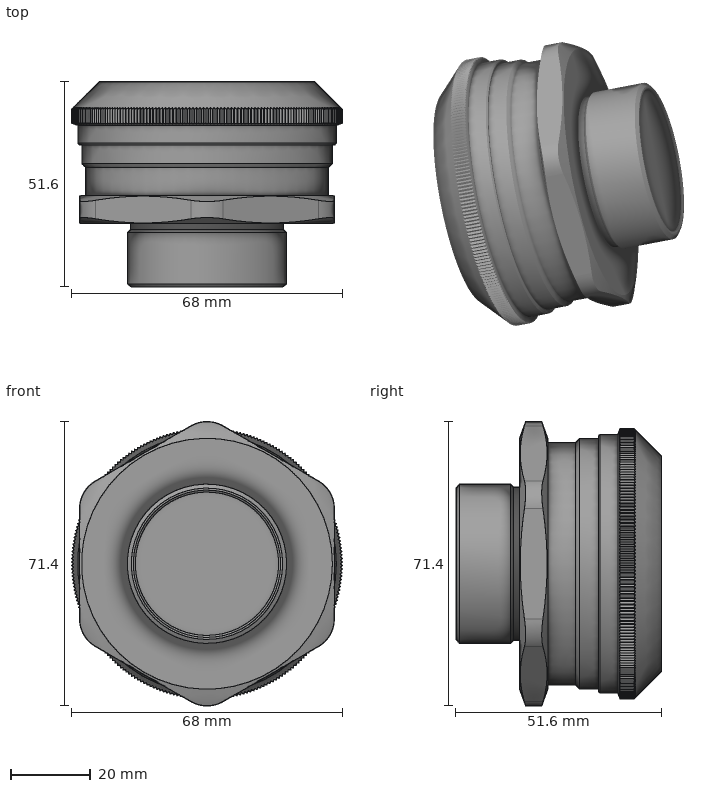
import math

import cadquery as cq


TOTAL_LENGTH = 51.6

STUB_DIAMETER = 40.0
STUB_CHAMFER_RADIAL = 1.0
STUB_CHAMFER_LENGTH = 0.8
UNDERCUT_DIAMETER = 38.5
UNDERCUT_START = 13.65
UNDERCUT_FLAT_START = 14.4

RECESS_MOUTH_DIAMETER = 37.0
RECESS_FLOOR_DIAMETER = 36.0
RECESS_DEPTH = 0.5

HEX_ACROSS_FLATS = 64.0
HEX_SIDES = 6
HEX_START = 15.9
HEX_LENGTH = 7.1
HEX_CORNER_RADIUS = 8.0
HEX_FACE_DIAMETER = 63.0
HEX_CHAMFER_ANGLE = 20.0

NECK_DIAMETER = 61.0
RING_DIAMETER = 63.0
COLLAR_DIAMETER = 65.0
RING_START = 30.0
COLLAR_START = 35.7
COLLAR_CHAMFER = 0.4

CAP_DIAMETER = 68.0
CAP_START = 40.6
CAP_CONE_LENGTH = 7.0
CAP_RIM_WIDTH = (CAP_DIAMETER - COLLAR_DIAMETER) / 2
CAP_RIM_ANGLE = 20.0
KNURL_COUNT = 240

HEX_END = HEX_START + HEX_LENGTH
RING_CHAMFER = (RING_DIAMETER - NECK_DIAMETER) / 2
KNURL_PITCH = math.pi * CAP_DIAMETER / KNURL_COUNT
KNURL_DEPTH = KNURL_PITCH / 2


def turned(profile):
    """Revolve a closed (radius, y) profile about the Y axis."""
    return cq.Workplane("XY").polyline(profile).close().revolve(360, (0, 0, 0), (0, 1, 0))


def prism_plane(y):
    """Workplane at height y whose extrusions run along +Y."""
    return cq.Workplane(cq.Plane(origin=(0, y, 0), xDir=(1, 0, 0), normal=(0, 1, 0)))


def make_body():
    """Stub, undercut, neck, ring and collar as a single turned piece."""
    stub = STUB_DIAMETER / 2
    undercut = UNDERCUT_DIAMETER / 2
    neck = NECK_DIAMETER / 2
    ring = RING_DIAMETER / 2
    collar = COLLAR_DIAMETER / 2
    return turned([
        (0, RECESS_DEPTH),
        (RECESS_FLOOR_DIAMETER / 2, RECESS_DEPTH),
        (RECESS_MOUTH_DIAMETER / 2, 0),
        (stub - STUB_CHAMFER_RADIAL, 0),
        (stub, STUB_CHAMFER_LENGTH),
        (stub, UNDERCUT_START),
        (undercut, UNDERCUT_FLAT_START),
        (undercut, HEX_START),
        (neck, HEX_START),
        (neck, RING_START),
        (ring, RING_START + RING_CHAMFER),
        (ring, COLLAR_START),
        (collar - COLLAR_CHAMFER, COLLAR_START),
        (collar, COLLAR_START + COLLAR_CHAMFER),
        (collar, CAP_START),
        (0, CAP_START),
    ])


def make_hexagon():
    """Hexagon with rounded corners, corners on Z, chamfered on both faces."""
    corner = HEX_ACROSS_FLATS / 2 / math.cos(math.pi / HEX_SIDES)
    prism = (
        prism_plane(HEX_START)
        .transformed(rotate=(0, 0, 90))
        .polygon(HEX_SIDES, 2 * corner)
        .extrude(HEX_LENGTH)
        .edges("|Y")
        .fillet(HEX_CORNER_RADIUS)
    )
    face = HEX_FACE_DIAMETER / 2
    rise = (corner - face) * math.tan(math.radians(HEX_CHAMFER_ANGLE))
    envelope = turned([
        (0, HEX_START),
        (face, HEX_START),
        (corner, HEX_START + rise),
        (corner, HEX_END - rise),
        (face, HEX_END),
        (0, HEX_END),
    ])
    return prism.intersect(envelope)


def make_cap():
    """Knurled cap: a star-shaped prism trimmed by the cap's turned outline."""
    crest = CAP_DIAMETER / 2
    root = crest - KNURL_DEPTH
    star = []
    for tooth in range(KNURL_COUNT):
        root_angle = 2 * math.pi * tooth / KNURL_COUNT
        crest_angle = root_angle + math.pi / KNURL_COUNT
        star.append((root * math.cos(root_angle), root * math.sin(root_angle)))
        star.append((crest * math.cos(crest_angle), crest * math.sin(crest_angle)))
    prism = prism_plane(CAP_START).polyline(star).close().extrude(TOTAL_LENGTH - CAP_START)

    rim_rise = CAP_RIM_WIDTH * math.tan(math.radians(CAP_RIM_ANGLE))
    outline = turned([
        (0, CAP_START),
        (crest - CAP_RIM_WIDTH, CAP_START),
        (crest, CAP_START + rim_rise),
        (crest, TOTAL_LENGTH - CAP_CONE_LENGTH),
        (crest - CAP_CONE_LENGTH, TOTAL_LENGTH),
        (0, TOTAL_LENGTH),
    ])
    return prism.intersect(outline)


result = make_body().union(make_hexagon()).union(make_cap())